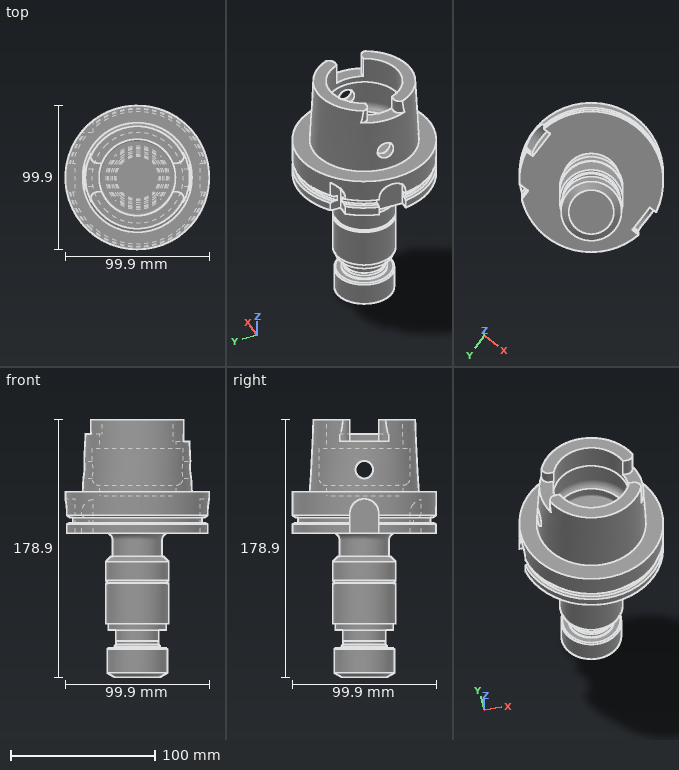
import math

import cadquery as cq


OVERALL_LENGTH = 178.9

SHANK_LENGTH = 50.0
SHANK_BASE_RADIUS = 38.0
SHANK_TAPER = 0.05
SHANK_TIP_RADIUS = SHANK_BASE_RADIUS - SHANK_TAPER * SHANK_LENGTH

BORE_RADIUS = 53.06 / 2
BORE_DEPTH = 20.0
UNDERCUT_RADIUS = 63.09 / 2
UNDERCUT_BOTTOM_Z = 9.5
CAVITY_FLOOR_RADIUS = 25.0
CAVITY_FLOOR_Z = -3.0
CLAMP_HOLE_DIAMETER = 12.0
CLAMP_HOLE_Z = 15.2

DRIVE_SLOT_WIDTH = 20.0
LUG_END_RADIUS = 4.8
LUG_REACH_X = 32.3
DRIVE_SLOT_DEPTH_LEFT = 10.0
DRIVE_SLOT_DEPTH_RIGHT = 15.2

FLANGE_RADIUS = 99.93 / 2
FLANGE_THICKNESS = 29.0
GROOVE_RADIUS = 46.0
GROOVE_TOP_Z = -16.4
GROOVE_TOP_CHAMFER = 1.7
GROOVE_TOP_LIP_RADIUS = 47.6
GROOVE_BOTTOM_Z = -22.7
GROOVE_BOTTOM_CHAMFER = 1.0
GROOVE_BOTTOM_LIP_RADIUS = 48.2

KEYWAY_WIDTH = 20.0
KEYWAY_TOP_Z = -5.0
KEYWAY_FLOOR_X = 43.3
NOTCH_CENTER_Y = 41.4
NOTCH_FLOOR_X = 31.0

NECK_RADIUS = 34.6 / 2
NECK_FILLET_RADIUS = 5.0
NECK_FILLET_TOP_RADIUS = 40.4 / 2

SLEEVE_RADIUS = 22.0
SLEEVE_TOP_Z = -45.0
SLEEVE_CHAMFER = 3.5
SLEEVE_BOTTOM_Z = -91.7
SLEEVE_GROOVE_RADIUS = 41.5 / 2
SLEEVE_GROOVE_TOP_Z = -61.6
SLEEVE_GROOVE_WIDTH = 2.1
COLLAR_RADIUS = 40.4 / 2
COLLAR_BOTTOM_Z = -96.0

LOWER_NECK_RADIUS = 15.0
LOWER_NECK_BOTTOM_Z = -103.6
RELIEF_RADIUS = 29.59 / 2
RELIEF_BOTTOM_Z = -105.8
NUT_HUB_RADIUS = 31.98 / 2
NUT_HUB_TOP_Z = -107.3

NUT_RADIUS = 21.0
NUT_TOP_Z = -108.4
NUT_TOP_CHAMFER = 1.0
NUT_BOTTOM_Z = SHANK_LENGTH - OVERALL_LENGTH
NUT_BOTTOM_CHAMFER_HEIGHT = 3.1
NUT_BOTTOM_CHAMFER_ANGLE = 30.0


def turned_body():
    """Solid of revolution: shank, flange, neck, sleeve and nut, without the cavity."""
    groove_chamfer = SLEEVE_RADIUS - SLEEVE_GROOVE_RADIUS
    relief_step = LOWER_NECK_RADIUS - RELIEF_RADIUS
    nut_chamfer_width = NUT_BOTTOM_CHAMFER_HEIGHT / math.tan(math.radians(NUT_BOTTOM_CHAMFER_ANGLE))

    fillet_center_radius = NECK_RADIUS + NECK_FILLET_RADIUS
    fillet_start_angle = math.acos((fillet_center_radius - NECK_FILLET_TOP_RADIUS) / NECK_FILLET_RADIUS)
    fillet_end_z = -FLANGE_THICKNESS - NECK_FILLET_RADIUS * math.sin(fillet_start_angle)
    fillet_middle = (
        fillet_center_radius - NECK_FILLET_RADIUS * math.cos(fillet_start_angle / 2),
        fillet_end_z + NECK_FILLET_RADIUS * math.sin(fillet_start_angle / 2),
    )

    profile = (
        cq.Workplane("XZ")
        .moveTo(0, SHANK_LENGTH)
        .lineTo(SHANK_TIP_RADIUS, SHANK_LENGTH)
        .lineTo(SHANK_BASE_RADIUS, 0)
        .lineTo(FLANGE_RADIUS, 0)
        .lineTo(FLANGE_RADIUS, GROOVE_TOP_Z)
        .lineTo(GROOVE_TOP_LIP_RADIUS, GROOVE_TOP_Z - GROOVE_TOP_CHAMFER)
        .lineTo(GROOVE_RADIUS, GROOVE_TOP_Z - GROOVE_TOP_CHAMFER)
        .lineTo(GROOVE_RADIUS, GROOVE_BOTTOM_Z + GROOVE_BOTTOM_CHAMFER)
        .lineTo(GROOVE_BOTTOM_LIP_RADIUS, GROOVE_BOTTOM_Z + GROOVE_BOTTOM_CHAMFER)
        .lineTo(FLANGE_RADIUS, GROOVE_BOTTOM_Z)
        .lineTo(FLANGE_RADIUS, -FLANGE_THICKNESS)
        .lineTo(NECK_FILLET_TOP_RADIUS, -FLANGE_THICKNESS)
        .threePointArc(fillet_middle, (NECK_RADIUS, fillet_end_z))
        .lineTo(NECK_RADIUS, SLEEVE_TOP_Z)
        .lineTo(SLEEVE_RADIUS - SLEEVE_CHAMFER, SLEEVE_TOP_Z)
        .lineTo(SLEEVE_RADIUS, SLEEVE_TOP_Z - SLEEVE_CHAMFER)
        .lineTo(SLEEVE_RADIUS, SLEEVE_GROOVE_TOP_Z)
        .lineTo(SLEEVE_GROOVE_RADIUS, SLEEVE_GROOVE_TOP_Z - groove_chamfer)
        .lineTo(SLEEVE_GROOVE_RADIUS, SLEEVE_GROOVE_TOP_Z - SLEEVE_GROOVE_WIDTH)
        .lineTo(SLEEVE_RADIUS, SLEEVE_GROOVE_TOP_Z - SLEEVE_GROOVE_WIDTH)
        .lineTo(SLEEVE_RADIUS, SLEEVE_BOTTOM_Z)
        .lineTo(COLLAR_RADIUS, SLEEVE_BOTTOM_Z)
        .lineTo(COLLAR_RADIUS, COLLAR_BOTTOM_Z)
        .lineTo(LOWER_NECK_RADIUS, COLLAR_BOTTOM_Z)
        .lineTo(LOWER_NECK_RADIUS, LOWER_NECK_BOTTOM_Z)
        .lineTo(RELIEF_RADIUS, LOWER_NECK_BOTTOM_Z - relief_step)
        .lineTo(RELIEF_RADIUS, RELIEF_BOTTOM_Z)
        .lineTo(NUT_HUB_RADIUS, NUT_HUB_TOP_Z)
        .lineTo(NUT_HUB_RADIUS, NUT_TOP_Z)
        .lineTo(NUT_RADIUS - NUT_TOP_CHAMFER, NUT_TOP_Z)
        .lineTo(NUT_RADIUS, NUT_TOP_Z - NUT_TOP_CHAMFER)
        .lineTo(NUT_RADIUS, NUT_BOTTOM_Z + NUT_BOTTOM_CHAMFER_HEIGHT)
        .lineTo(NUT_RADIUS - nut_chamfer_width, NUT_BOTTOM_Z)
        .lineTo(0, NUT_BOTTOM_Z)
        .close()
    )
    return profile.revolve(360, (0, 0, 0), (0, 1, 0))


def shank_cavity():
    """Blind bore that widens into an undercut and ends in a flat floor with a filleted rim."""
    shoulder_z = SHANK_LENGTH - BORE_DEPTH
    ledge_fillet = UNDERCUT_RADIUS - BORE_RADIUS
    floor_fillet = BORE_RADIUS - CAVITY_FLOOR_RADIUS
    profile = (
        cq.Workplane("XZ")
        .moveTo(0, SHANK_LENGTH)
        .lineTo(BORE_RADIUS, SHANK_LENGTH)
        .lineTo(BORE_RADIUS, shoulder_z)
        .lineTo(UNDERCUT_RADIUS, shoulder_z)
        .lineTo(UNDERCUT_RADIUS, UNDERCUT_BOTTOM_Z)
        .radiusArc((BORE_RADIUS, UNDERCUT_BOTTOM_Z - ledge_fillet), ledge_fillet)
        .lineTo(BORE_RADIUS, CAVITY_FLOOR_Z + floor_fillet)
        .radiusArc((CAVITY_FLOOR_RADIUS, CAVITY_FLOOR_Z), floor_fillet)
        .lineTo(0, CAVITY_FLOOR_Z)
        .close()
    )
    return profile.revolve(360, (0, 0, 0), (0, 1, 0))


def clamp_hole():
    """Cross hole along X through both walls of the shank."""
    length = 2 * SHANK_BASE_RADIUS
    return (
        cq.Workplane("YZ", origin=(-length / 2, 0, 0))
        .center(0, CLAMP_HOLE_Z)
        .circle(CLAMP_HOLE_DIAMETER / 2)
        .extrude(length)
    )


def drive_slot(side, depth):
    """Slot across the shank tip on one side (-1 or +1 along X) that leaves rounded lug ends."""
    floor_z = SHANK_LENGTH - depth
    channel_length = SHANK_BASE_RADIUS
    slot = (
        cq.Workplane("XY", origin=(side * channel_length / 2, 0, floor_z))
        .rect(channel_length, DRIVE_SLOT_WIDTH)
        .extrude(depth)
    )

    round_x = LUG_REACH_X - LUG_END_RADIUS
    round_y = DRIVE_SLOT_WIDTH / 2 + LUG_END_RADIUS
    farthest_y = round_y * (1 + LUG_END_RADIUS / math.hypot(round_x, round_y))
    flare_length = SHANK_BASE_RADIUS - round_x
    flare_center_x = side * (round_x + flare_length / 2)
    flare = (
        cq.Workplane("XY", origin=(flare_center_x, 0, floor_z))
        .rect(flare_length, 2 * farthest_y)
        .extrude(depth)
    )
    lug_ends = (
        cq.Workplane("XY", origin=(side * round_x, 0, floor_z))
        .pushPoints([(0, -round_y), (0, round_y)])
        .circle(LUG_END_RADIUS)
        .extrude(depth)
    )
    return slot.union(flare.cut(lug_ends))


def flange_slot(side, center_y, floor_x):
    """Round-topped slot in the flange edge, open downward, from floor_x outward along side * X."""
    radius = KEYWAY_WIDTH / 2
    arc_center_z = KEYWAY_TOP_Z - radius
    return (
        cq.Workplane("YZ", origin=(side * floor_x, 0, 0))
        .moveTo(center_y - radius, -FLANGE_THICKNESS)
        .lineTo(center_y - radius, arc_center_z)
        .threePointArc((center_y, KEYWAY_TOP_Z), (center_y + radius, arc_center_z))
        .lineTo(center_y + radius, -FLANGE_THICKNESS)
        .close()
        .extrude(side * FLANGE_RADIUS)
    )


result = turned_body().cut(shank_cavity()).cut(clamp_hole())
result = result.cut(drive_slot(-1, DRIVE_SLOT_DEPTH_LEFT))
result = result.cut(drive_slot(1, DRIVE_SLOT_DEPTH_RIGHT))
for keyway_side in (-1, 1):
    result = result.cut(flange_slot(keyway_side, 0, KEYWAY_FLOOR_X))
result = result.cut(flange_slot(-1, NOTCH_CENTER_Y, NOTCH_FLOOR_X))